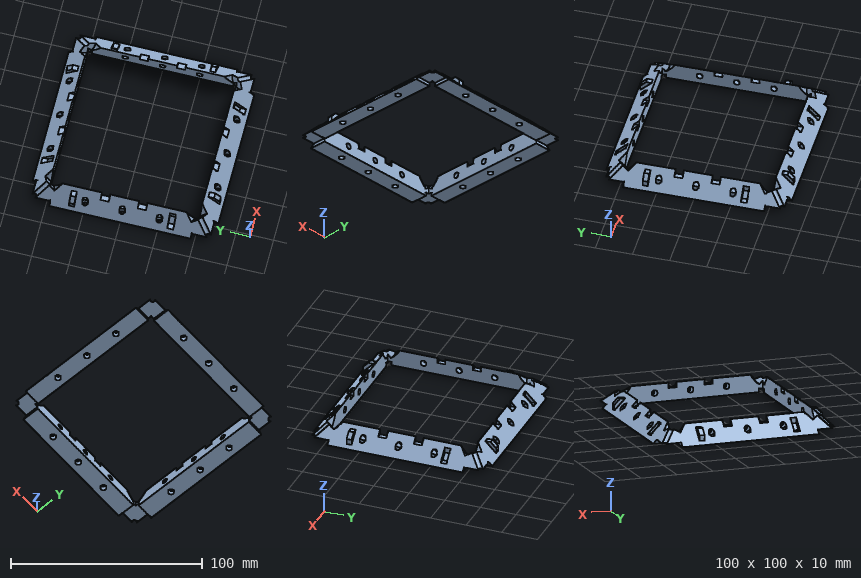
import cadquery as cq

outer_side = 100.0
height = 10.0
half_outer = outer_side / 2
half_inner = half_outer - height

undercut_height = 2.0
undercut_start = 38.0

screw_diameter = 3.1
head_diameter = 11.0
head_seat_x = 41.3

hole_diameter = 3.1
hole_spacing = 20.0
hole_height = height / 2

notch_width = 4.4
notch_floor = 7.0
notch_offset = 10.0

tab_width = 2.8
slot_width = 3.2
key_offset = 26.5
key_bottom = 2.0
key_top = 8.0
key_depth = (key_top - key_bottom) / 2

QUARTER_TURNS = (0, 90, 180, 270)


def slope_y(z):
    """Y of the front slope at height z."""
    return z - half_outer


def around(shape):
    """Copies of the shape for all four sides or corners."""
    z_axis = ((0, 0, 0), (0, 0, 1))
    return [shape.rotate(*z_axis, angle) for angle in QUARTER_TURNS]


def cut_around(body, shape):
    for copy in around(shape):
        body = body.cut(copy)
    return body


def make_frame():
    pyramid = cq.Workplane("XY").rect(outer_side, outer_side).extrude(height, taper=45)
    opening = cq.Workplane("XY").rect(2 * half_inner, 2 * half_inner).extrude(height)
    return pyramid.cut(opening)


def make_corner_undercut():
    size = half_outer - undercut_start
    corner = (-half_outer, -half_outer, 0)
    return cq.Workplane("XY").box(size, size, undercut_height, centered=False).translate(corner)


def make_screw_seat():
    """Screw shank and head clearances, both centred on the front left mitre edge."""
    length = half_outer
    seat = (-head_seat_x, -head_seat_x, half_outer - head_seat_x)
    plane = cq.Plane(origin=seat, xDir=(1, -1, 0), normal=(1, 1, 1))
    shank = cq.Workplane(plane).circle(screw_diameter / 2).extrude(length, both=True)
    head = cq.Workplane(plane).circle(head_diameter / 2).extrude(height)
    return shank.union(head)


def make_side_holes():
    """Level and upright holes that meet on the front slope."""
    spots = [(step * hole_spacing, hole_height) for step in (-1, 0, 1)]
    level = (
        cq.Workplane("XZ", origin=(0, -half_inner, 0))
        .pushPoints(spots)
        .circle(hole_diameter / 2)
        .extrude(height)
    )
    upright = (
        cq.Workplane("XY")
        .pushPoints([(x, slope_y(z)) for x, z in spots])
        .circle(hole_diameter / 2)
        .extrude(height)
    )
    return level.union(upright)


def make_top_notches():
    middle = (0, -half_inner - height / 2, notch_floor)
    return (
        cq.Workplane("XY", origin=middle)
        .pushPoints([(-notch_offset, 0), (notch_offset, 0)])
        .rect(notch_width, height)
        .extrude(height - notch_floor)
    )


def make_key(outline, x, width):
    """Prism on the front side with the given Y-Z outline, centred at x."""
    return (
        cq.Workplane("YZ", origin=(x, 0, 0))
        .polyline(outline)
        .close()
        .extrude(width / 2, both=True)
    )


def make_tab():
    """Tab standing out from the front slope, with a chamfered upper edge."""
    outer_y = slope_y(key_bottom)
    inner_y = slope_y(key_top)
    outline = [
        (outer_y, key_bottom),
        (outer_y, key_bottom + key_depth),
        (outer_y + key_depth, key_top),
        (inner_y, key_top),
    ]
    root = [(inner_y, key_bottom)]
    return make_key(outline + root, -key_offset, tab_width)


def make_slot():
    """Recess in the front slope: the tab's outline turned over to point inward."""
    outer_y = slope_y(key_bottom)
    inner_y = slope_y(key_top)
    outline = [
        (outer_y, key_bottom),
        (outer_y + key_depth, key_bottom),
        (inner_y, key_top - key_depth),
        (inner_y, key_top),
    ]
    return make_key(outline, key_offset, slot_width)


result = make_frame()
for cutter in (
    make_corner_undercut(),
    make_screw_seat(),
    make_side_holes(),
    make_top_notches(),
    make_slot(),
):
    result = cut_around(result, cutter)
for tab in around(make_tab()):
    result = result.union(tab)